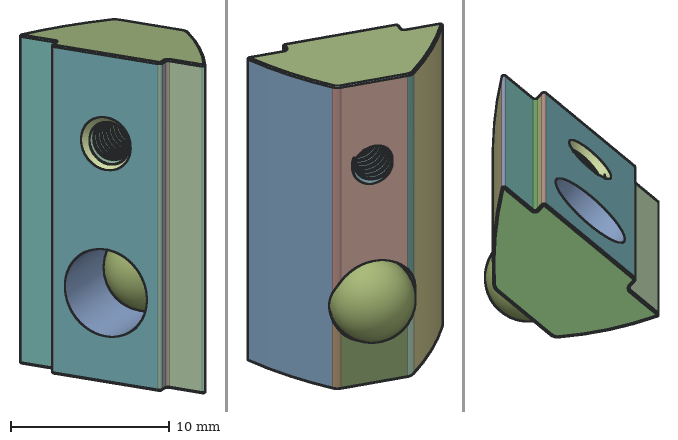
import cadquery as cq

length = 22.0
wing_half_width = 6.65
tongue_half_width = 3.9
tongue_height = 0.81
body_depth = 6.4
crown_half_width = 2.53
flank_mid_x = 4.77
flank_mid_y = 3.78
crown_radius = 0.7
edge_radius = 0.2
tip_radius = 0.15
end_chamfer = 0.1

hole_offset = 5.0
thread_pitch = 0.5
thread_minor_radius = 1.23
thread_major_radius = 1.5
countersink_radius = 1.75
crest_width = thread_pitch / 4
root_width = thread_pitch / 8
bore_overlap = 0.05

ball_hole_radius = 2.9
ball_radius = 2.8
overall_depth = 8.7
ball_y = overall_depth - ball_radius
ball_z = -hole_offset - (ball_hole_radius - ball_radius)


def section_vertex(x, y):
    """Select the vertical edges at (x, y) and its mirror image."""
    margin = 0.02
    box = cq.selectors.BoxSelector
    right = box((x - margin, y - margin, -length), (x + margin, y + margin, length))
    left = box((-x - margin, y - margin, -length), (-x + margin, y + margin, length))
    return right + left


def make_blank():
    blank = (
        cq.Workplane("XY")
        .workplane(offset=-length / 2)
        .moveTo(-tongue_half_width, 0)
        .lineTo(tongue_half_width, 0)
        .lineTo(tongue_half_width, tongue_height)
        .lineTo(wing_half_width, tongue_height)
        .threePointArc((flank_mid_x, flank_mid_y), (crown_half_width, body_depth))
        .lineTo(-crown_half_width, body_depth)
        .threePointArc((-flank_mid_x, flank_mid_y), (-wing_half_width, tongue_height))
        .lineTo(-tongue_half_width, tongue_height)
        .close()
        .extrude(length)
    )
    blank = blank.edges(section_vertex(crown_half_width, body_depth)).fillet(crown_radius)
    blank = blank.edges(section_vertex(wing_half_width, tongue_height)).fillet(tip_radius)
    blank = blank.edges(section_vertex(tongue_half_width, tongue_height)).fillet(edge_radius)
    blank = blank.edges(section_vertex(tongue_half_width, 0)).fillet(edge_radius)
    return blank.faces("<Z or >Z").edges().chamfer(end_chamfer)


def through_hole(radius, z):
    """Cylinder along Y through the whole depth of the body."""
    return cq.Workplane("XZ", origin=(0, 0, z)).circle(radius).extrude(-body_depth)


def make_countersink():
    """45 degree cone from the front face down to the minor diameter."""
    depth = countersink_radius - thread_minor_radius
    cone = cq.Solid.makeCone(
        countersink_radius, thread_minor_radius, depth, cq.Vector(0, 0, hole_offset), cq.Vector(0, 1, 0)
    )
    return cq.Workplane(cone)


def make_thread_groove():
    """Helical trapezoid cut between the minor and major radii, running out of both faces."""
    inner_radius = thread_minor_radius - bore_overlap
    outer_radius = thread_major_radius
    overrun = 1.5 * thread_pitch
    mouth_half = (thread_pitch - crest_width) / 2
    root_half = root_width / 2
    groove_length = body_depth + 2 * overrun
    helix = cq.Wire.makeHelix(thread_pitch, groove_length, inner_radius)
    groove = (
        cq.Workplane("XZ")
        .polyline([
            (inner_radius, -mouth_half),
            (outer_radius, -root_half),
            (outer_radius, root_half),
            (inner_radius, mouth_half),
        ])
        .close()
        .sweep(cq.Workplane(helix), isFrenet=True)
    )
    turned = groove.rotate((0, 0, 0), (1, 0, 0), -90)
    return turned.translate((0, -overrun, hole_offset))


def make_nut():
    nut = make_blank()
    nut = nut.cut(through_hole(ball_hole_radius, -hole_offset))
    nut = nut.cut(make_thread_groove())
    nut = nut.cut(through_hole(thread_minor_radius, hole_offset))
    return nut.cut(make_countersink())


def make_ball():
    return cq.Workplane("XY", origin=(0, ball_y, ball_z)).sphere(ball_radius)


nut = make_nut()
ball = make_ball()
result = cq.Compound.makeCompound([nut.solids().val(), ball.val()])